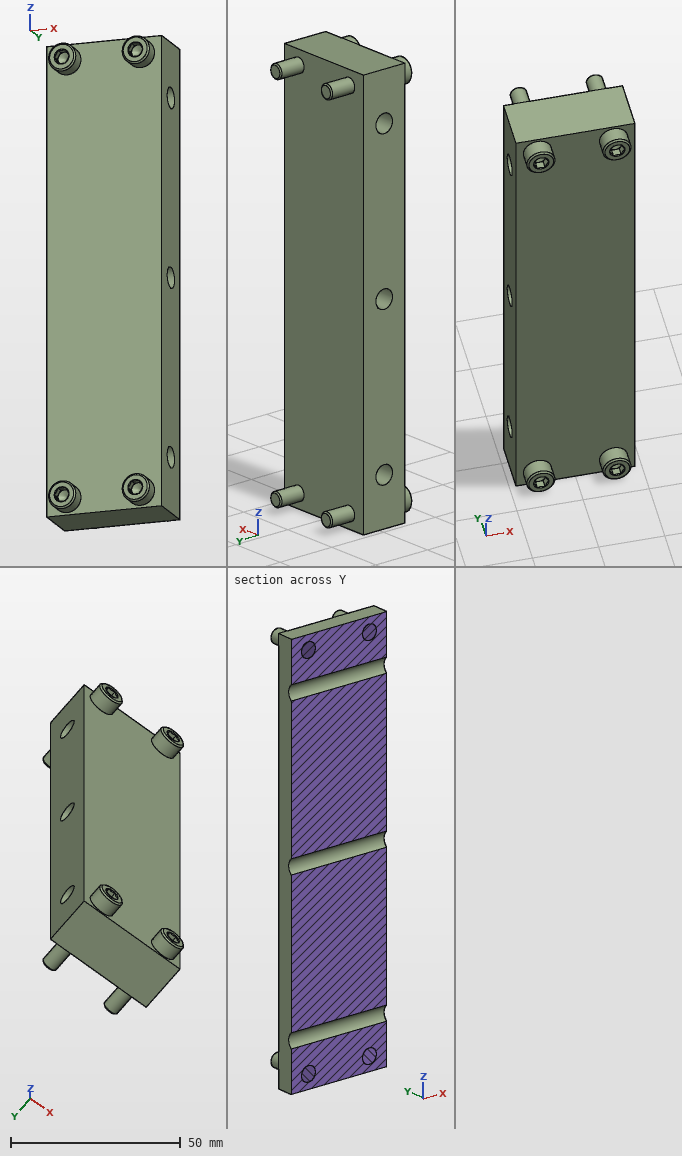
import cadquery as cq
import math

block_width = 36.0
block_depth = 16.0
block_height = 144.0

cross_hole_diameter = 6.4
cross_hole_spacing = 55.0
cross_hole_count = 3

screw_diameter = 5.0
screw_length = 25.0
tip_diameter = 4.13
head_diameter = 8.5
head_height = 5.0
head_edge_chamfer = 0.5
socket_across_flats = 4.0
socket_depth = 2.5
socket_bottom_angle = 120.0
socket_mouth_angle = 90.0
screw_side_margin = 6.5
screw_end_margin = 5.0

screw_x = block_width / 2 - screw_side_margin
screw_z = block_height / 2 - screw_end_margin
screw_places = [(x, z) for x in (-screw_x, screw_x) for z in (-screw_z, screw_z)]


def make_block():
    """Plain rectangular block with a row of cross holes and four screw holes."""
    body = cq.Workplane("XY").box(block_width, block_depth, block_height)
    body = body.translate((0, block_depth / 2, 0))
    cross_holes = (
        cq.Workplane("YZ", origin=(-block_width / 2, block_depth / 2, 0))
        .rarray(1, cross_hole_spacing, 1, cross_hole_count)
        .circle(cross_hole_diameter / 2)
        .extrude(block_width)
    )
    body = body.cut(cross_holes)
    for x, z in screw_places:
        screw_hole = (
            cq.Workplane("XZ", origin=(x, 0, z))
            .circle(screw_diameter / 2)
            .extrude(-block_depth)
        )
        body = body.cut(screw_hole)
    return body


def make_cone(base_diameter, apex_angle, base_y):
    """Cone on the screw axis whose base lies at base_y and whose apex points along +Y."""
    radius = base_diameter / 2
    depth = radius / math.tan(math.radians(apex_angle / 2))
    cone = cq.Solid.makeCone(radius, 0, depth, cq.Vector(0, base_y, 0), cq.Vector(0, 1, 0))
    return cq.Workplane(cone)


def make_socket():
    """Cutter for the hexagonal socket, with a countersunk mouth and a conical bottom."""
    corner_diameter = socket_across_flats / math.cos(math.pi / 6)
    hexagon = (
        cq.Workplane("XZ", origin=(0, -head_height, 0))
        .polygon(6, corner_diameter)
        .extrude(-socket_depth)
    )
    mouth = make_cone(corner_diameter, socket_mouth_angle, -head_height)
    bottom = make_cone(socket_across_flats, socket_bottom_angle, socket_depth - head_height)
    return hexagon.union(mouth).union(bottom)


def make_screw():
    """Cap screw along Y, with the underside of its head on Y = 0."""
    head = cq.Workplane("XZ").circle(head_diameter / 2).extrude(head_height)
    head = head.faces("<Y").edges().chamfer(head_edge_chamfer)
    tip_chamfer = (screw_diameter - tip_diameter) / 2
    shank = cq.Workplane("XZ").circle(screw_diameter / 2).extrude(-screw_length)
    shank = shank.faces(">Y").chamfer(tip_chamfer)
    return head.union(shank).cut(make_socket())


block = make_block()
screw = make_screw()
screws = [screw.translate((x, 0, z)) for x, z in screw_places]

result = cq.Compound.makeCompound([block.val(), *[placed.val() for placed in screws]])